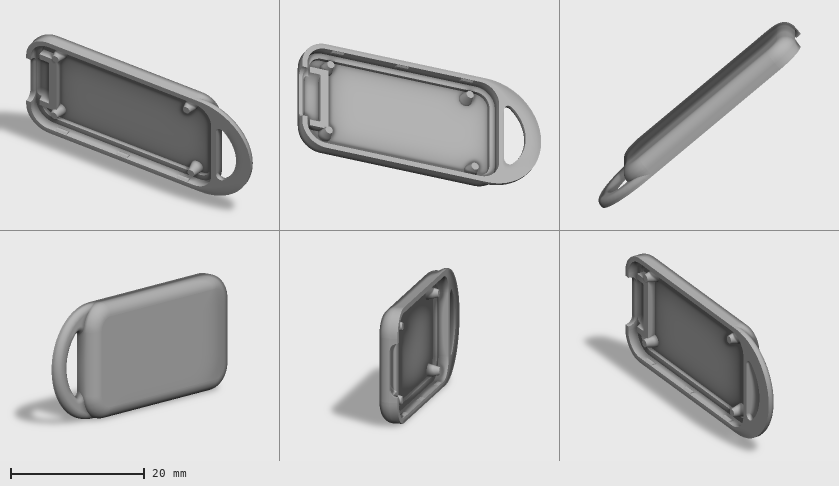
import cadquery as cq


total_length = 39.0
shell_length = 32.95
shell_width = 17.7
shell_depth = 3.2
shell_corner = 3.95
back_round = 1.9
rim_depth = shell_depth - back_round

tab_radius = shell_width / 2
tab_center = total_length - tab_radius
tab_root_overlap = 5.85
tab_start = tab_center - tab_root_overlap
tab_round = 0.9
ring_band = 2.55
ring_hole_corner = 0.78

lip_wall = 0.8
lip_depth = 1.6
pocket_wall = 1.7
pocket_depth = 2.22

peg_places = [(4.85, 5.77), (27.57, 5.77), (4.55, -5.45), (28.4, -6.3)]
peg_base_radius = 1.05
peg_tip_radius = 0.6
peg_tip_depth = 0.4

seat_end = 4.68
seat_width = 10.0
seat_top_depth = 0.98
mouth_width = 8.35
mouth_radius = 1.2
mouth_length = 0.6
trough_start = 1.3
trough_end = 3.4
trough_end_chamfer = 0.1
trough_radius = 1.55
trough_axis_depth = 0.5
trough_flat_width = 5.07

snap_length = 1.9
snap_pitch = 10.53
snap_near_depth = 0.08
snap_far_depth = 1.05
snap_slope = 0.3
snap_height = 0.2
snap_root = 0.1


def face_plane(depth=0.0):
    """Sketch plane parallel to the open face; extruding by a negative length goes deeper."""
    return cq.Workplane("XZ", origin=(0, depth, 0))


def rounded_block(inset, depth):
    """Rounded rectangle inset evenly from the shell outline, from the open face to a depth."""
    return (
        face_plane()
        .center(shell_length / 2, 0)
        .rect(shell_length - 2 * inset, shell_width - 2 * inset)
        .extrude(-depth)
        .edges("|Y")
        .fillet(shell_corner - inset)
    )


def key_ring_tab():
    """Round-ended plate with a D-shaped hole, rounded along its back edges."""
    plate = (
        face_plane()
        .moveTo(tab_start, -tab_radius)
        .lineTo(tab_center, -tab_radius)
        .threePointArc((total_length, 0), (tab_center, tab_radius))
        .lineTo(tab_start, tab_radius)
        .close()
        .extrude(-rim_depth)
    )
    hole_disc = face_plane().center(tab_center, 0).circle(tab_radius - ring_band).extrude(-rim_depth)
    beyond_shell = cq.Workplane("XY").box(
        total_length, shell_width, shell_width, centered=(False, True, True)
    ).translate((shell_length, 0, 0))
    hole = hole_disc.intersect(beyond_shell).edges("|Y").fillet(ring_hole_corner)
    return plate.cut(hole).faces(">Y").edges().fillet(tab_round)


def peg(x, z):
    """Tapered peg standing on the pocket floor."""
    return (
        face_plane(pocket_depth)
        .center(x, z)
        .circle(peg_base_radius)
        .workplane(offset=pocket_depth - peg_tip_depth)
        .circle(peg_tip_radius)
        .loft()
    )


def channel_section(x, flat_width, radius, axis_depth):
    """Cross-section at X = x of a channel with a flat floor and half-round sides."""
    return cq.Workplane("YZ", origin=(x, axis_depth, 0)).slot2D(flat_width + 2 * radius, 2 * radius, 90)


def connector_seat():
    """Block across the connector end of the pocket."""
    return cq.Workplane("XY").box(
        seat_end - pocket_wall, pocket_depth - seat_top_depth, seat_width, centered=(False, False, True)
    ).translate((pocket_wall, seat_top_depth, 0))


def connector_cutout():
    """Mouth through the end wall, flared down into the deeper trough."""
    mouth_shape = (mouth_width - 2 * mouth_radius, mouth_radius, 0)
    trough_shape = (trough_flat_width, trough_radius, trough_axis_depth)

    mouth = channel_section(0, *mouth_shape).extrude(mouth_length)
    trough = (
        channel_section(trough_start, *trough_shape)
        .extrude(trough_end - trough_start)
        .faces(">X")
        .chamfer(trough_end_chamfer)
    )
    flare_ends = [
        channel_section(mouth_length, *mouth_shape).wires().val(),
        channel_section(trough_start, *trough_shape).wires().val(),
    ]
    flare = cq.Solid.makeLoft(flare_ends, ruled=True)
    return mouth.union(trough).union(cq.Workplane(flare))


def snap_ridge(x, side):
    """Trapezoidal ridge on one long wall; side is +1 for the +Z wall and -1 for the -Z wall."""
    wall = shell_width / 2 - lip_wall
    root = side * (wall + snap_root)
    foot = side * wall
    crest = side * (wall - snap_height)
    section = [
        (snap_near_depth, root),
        (snap_near_depth, foot),
        (snap_near_depth + snap_slope, crest),
        (snap_far_depth - snap_slope, crest),
        (snap_far_depth, foot),
        (snap_far_depth, root),
    ]
    start = cq.Workplane("YZ", origin=(x - snap_length / 2, 0, 0))
    return start.polyline(section).close().extrude(snap_length)


shell = rounded_block(0, shell_depth).faces(">Y").edges().fillet(back_round)
body = shell.union(key_ring_tab())
body = body.cut(rounded_block(lip_wall, lip_depth)).cut(rounded_block(pocket_wall, pocket_depth))

body = body.union(connector_seat()).cut(connector_cutout())

for peg_x, peg_z in peg_places:
    body = body.union(peg(peg_x, peg_z))

for step in (-1, 0, 1):
    for wall_side in (-1, 1):
        body = body.union(snap_ridge(shell_length / 2 + step * snap_pitch, wall_side))

result = body